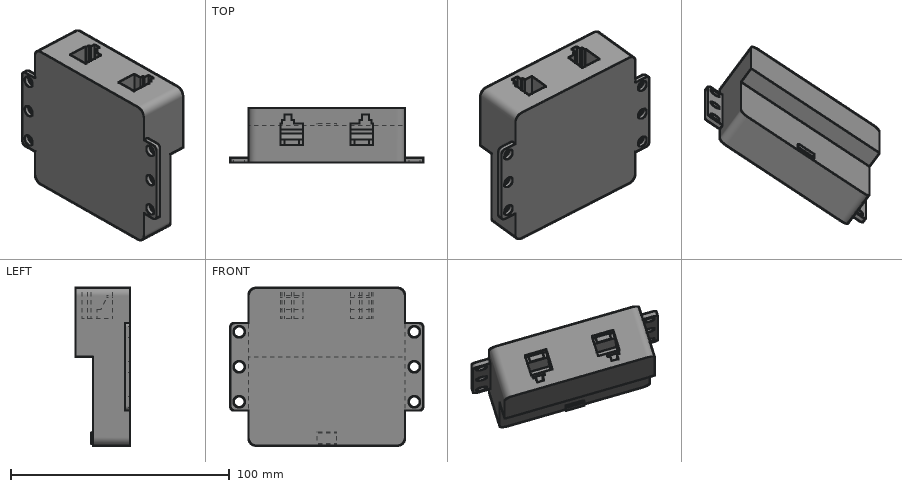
import cadquery as cq
import math


housing_width = 71.7
housing_height = 72.3
housing_corner_radius = 3.8
upper_depth = 25.1
lower_depth = 17.0
step_z = 4.5
top_z = housing_height / 2
bottom_z = -housing_height / 2

flange_width = 88.3
flange_height = 40.1
flange_thickness = 2.4
flange_corner_radius = 2.0
mount_hole_diameter = 5.0
mount_hole_x = 40.0
mount_hole_pitch = 16.0
mount_hole_rows = (-1, 0, 1)

nub_width = 8.8
nub_height = 5.65
nub_protrusion = 0.9
nub_base_z = bottom_z + 0.8
nub_upper_slope = 0.6
nub_lower_slope = 0.3

socket_x = 16.0
socket_width = 10.15
socket_depth = 14.1
socket_front_y = 8.0
socket_back_y = 18.0
keyway_offset = 1.8
keyway_shoulder_width = 5.5
keyway_shoulder_y = 19.6
keyway_slot_width = 3.2
keyway_slot_y = 22.0
sides = (-1, 1)

shelf_length = 2.65
ramp_length = 2.65
ramp_angle = 64.5
lip_length = 1.8
shelf_below_top = 4.4
pad_width = 6.7
pad_height = 0.9


def box_between(x_center, width, y_front, y_back, z_low, z_high):
    """Box centred on x_center that spans the given Y and Z limits."""
    size = (width, y_back - y_front, z_high - z_low)
    box = cq.Workplane("XY").box(*size, centered=(True, False, False))
    return box.translate((x_center, y_front, z_low))


def extrude_profile(points, x_center, width):
    """Prism along X, centred on x_center, with an outline of (Y, Z) points."""
    return cq.Workplane("YZ").workplane(offset=x_center - width / 2).polyline(points).close().extrude(width)


def make_shell():
    """Stepped box: full depth above the step, shallower below it."""
    block = box_between(0, housing_width, 0, upper_depth, bottom_z, top_z)
    block = block.edges("|Y").fillet(housing_corner_radius)
    return block.cut(box_between(0, housing_width, lower_depth, upper_depth, bottom_z, step_z))


def make_flange():
    """Rounded plate with a row of mounting holes near each end."""
    plate = box_between(0, flange_width, 0, flange_thickness, -flange_height / 2, flange_height / 2)
    plate = plate.edges("|Y").fillet(flange_corner_radius)
    for side in sides:
        for row in mount_hole_rows:
            hole = cq.Workplane("XZ").center(side * mount_hole_x, row * mount_hole_pitch)
            plate = plate.cut(hole.circle(mount_hole_diameter / 2).extrude(-flange_thickness))
    return plate


def make_nub():
    """Low nub on the lower back face."""
    base_top_z = nub_base_z + nub_height
    outer_y = lower_depth + nub_protrusion
    outline = [
        (lower_depth, nub_base_z),
        (outer_y, nub_base_z + nub_lower_slope),
        (outer_y, base_top_z - nub_upper_slope),
        (lower_depth, base_top_z),
    ]
    return extrude_profile(outline, 0, nub_width)


def make_socket_cavity(side):
    """Plug opening plus the two keyway steps behind it."""
    floor_z = top_z - socket_depth
    center_x = side * socket_x
    keyway_x = side * (socket_x + keyway_offset)
    opening = box_between(center_x, socket_width, socket_front_y, socket_back_y, floor_z, top_z)
    shoulder = box_between(keyway_x, keyway_shoulder_width, socket_front_y, keyway_shoulder_y, floor_z, top_z)
    slot = box_between(keyway_x, keyway_slot_width, socket_front_y, keyway_slot_y, floor_z, top_z)
    return opening.union(shoulder).union(slot)


def make_housing():
    """Shell, flange and nub in one piece, with a cavity for each jack socket."""
    body = make_shell().union(make_flange()).union(make_nub())
    for side in sides:
        body = body.cut(make_socket_cavity(side))
    return body


def make_contact_block(side):
    """Block with a high shelf carrying a pad, a steep ramp and a low lip."""
    center_x = side * socket_x
    floor_z = top_z - socket_depth
    shelf_z = top_z - shelf_below_top
    lip_z = shelf_z - ramp_length * math.tan(math.radians(ramp_angle))
    shelf_y = socket_front_y + shelf_length
    ramp_y = shelf_y + ramp_length
    lip_y = ramp_y + lip_length
    outline = [
        (socket_front_y, floor_z),
        (lip_y, floor_z),
        (lip_y, lip_z),
        (ramp_y, lip_z),
        (shelf_y, shelf_z),
        (socket_front_y, shelf_z),
    ]
    block = extrude_profile(outline, center_x, socket_width)
    pad = box_between(center_x, pad_width, socket_front_y, shelf_y, shelf_z, shelf_z + pad_height)
    return block.union(pad)


housing = make_housing()
contact_blocks = [make_contact_block(side) for side in sides]

result = cq.Compound.makeCompound([housing.val(), *[block.val() for block in contact_blocks]])